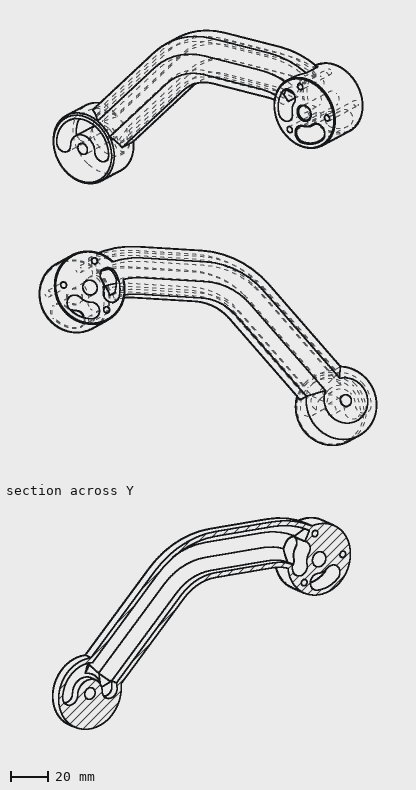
import cadquery as cq
import math

length = 185
height = 98.8
depth = 27.0
hub_diameter = 40.0
hub_radius = hub_diameter / 2
upper_hub_x = length - hub_diameter
upper_hub_z = 53.3

arm_setback = 1.0
arm_width = depth - arm_setback
arm_chamfer = 7.5
arm_wall = 3.0
arm_middle_y = arm_setback + arm_width / 2
arm_top_z = height - hub_radius
arm_axis_z = arm_top_z - arm_width / 2
rise_angle = 46.4
bend_radius = 40.0
straight_start_x = 79.4
straight_end_x = 115.8

lower_front_chamfer = arm_setback
lower_back_chamfer = arm_chamfer
upper_chamfer = 0.5
lower_bore_diameter = 6.3
upper_bore_diameter = 8.1
screw_hole_diameter = 3.3
screw_circle_radius = 15.0
screw_hole_angles = (2, 100, 231)

slot_inner_radius = 8.0
slot_outer_radius = 17.0
lower_slot_depth = 18.5
lower_slot_span = (0, 180)
open_slot_span = (146, 193)
chamfered_slot_span = (266, 313)

channel_width = arm_width - 2 * arm_wall
channel_chamfer = arm_chamfer - arm_wall * (1 - math.tan(math.radians(22.5)))
channel_flat = channel_width / 2 - channel_chamfer
channel_back_y = depth - arm_wall
channel_hub_distance = 13.3
mouth_radius = 10.0
mouth_half_width = 6.8


def polar(radius, angle):
    """X, Z offsets of a point at a radius and an angle in degrees from +X towards +Z."""
    return radius * math.cos(math.radians(angle)), radius * math.sin(math.radians(angle))


def cylinder(x, z, diameter):
    """Cylinder along Y through the whole depth."""
    return cq.Workplane("XZ").center(x, z).circle(diameter / 2).extrude(-depth)


def curved_slot(x, z, span, slot_depth):
    """Arc-shaped slot with round ends, cut in from the front; span gives the end-centre angles."""
    first, last = span
    middle = (first + last) / 2
    middle_radius = (slot_inner_radius + slot_outer_radius) / 2
    end_radius = (slot_outer_radius - slot_inner_radius) / 2

    def end_tip(angle, side):
        centre_x, centre_z = polar(middle_radius, angle)
        tip_x, tip_z = polar(end_radius, angle + side * 90)
        return centre_x + tip_x, centre_z + tip_z

    return (
        cq.Workplane("XZ")
        .center(x, z)
        .moveTo(*polar(slot_outer_radius, first))
        .threePointArc(polar(slot_outer_radius, middle), polar(slot_outer_radius, last))
        .threePointArc(end_tip(last, 1), polar(slot_inner_radius, last))
        .threePointArc(polar(slot_inner_radius, middle), polar(slot_inner_radius, first))
        .threePointArc(end_tip(first, -1), polar(slot_outer_radius, first))
        .close()
        .extrude(-slot_depth)
    )


def bend_point(tangent_x, radius_angle):
    """Point on the bend that touches the straight arm axis at tangent_x."""
    x, z = polar(bend_radius, radius_angle)
    return tangent_x + x, arm_axis_z - bend_radius + z


rise_start = bend_point(straight_start_x, 90 + rise_angle)
rise_x, rise_z = polar(1, rise_angle)
rise_length = rise_start[0] * rise_x + rise_start[1] * rise_z


def octagon_bar(width, chamfer, start_distance, end_angle):
    """Octagonal bar along the arm axis, from a distance past the lower hub to a bend angle."""
    run = rise_length - start_distance
    start = (rise_start[0] - run * rise_x, rise_start[1] - run * rise_z)
    path = (
        cq.Workplane("XZ", origin=(0, arm_middle_y, 0))
        .moveTo(*start)
        .lineTo(*rise_start)
        .threePointArc(
            bend_point(straight_start_x, 90 + rise_angle / 2),
            (straight_start_x, arm_axis_z),
        )
        .lineTo(straight_end_x, arm_axis_z)
        .threePointArc(
            bend_point(straight_end_x, 90 - end_angle / 2),
            bend_point(straight_end_x, 90 - end_angle),
        )
    )
    section = cq.Plane(
        origin=(start[0], arm_middle_y, start[1]), xDir=(0, 1, 0), normal=(rise_x, 0, rise_z)
    )
    half = width / 2
    flat = half - chamfer
    outline = [
        (half, flat), (flat, half), (-flat, half), (-half, flat),
        (-half, -flat), (-flat, -half), (flat, -half), (half, -flat),
    ]
    return cq.Workplane(section).polyline(outline).close().sweep(path)


def lower_hub():
    back_radius = hub_radius - lower_back_chamfer
    return (
        cq.Workplane("XY")
        .polyline([
            (0, 0),
            (hub_radius - lower_front_chamfer, 0),
            (hub_radius, lower_front_chamfer),
            (hub_radius, depth - lower_back_chamfer),
            (back_radius, depth),
            (0, depth),
        ])
        .close()
        .revolve(360, (0, 0, 0), (0, 1, 0))
    )


def upper_hub():
    return cylinder(upper_hub_x, upper_hub_z, hub_diameter).faces("<Y or >Y").chamfer(upper_chamfer)


def with_front_chamfer(cutter):
    """Widen the front end of a cutter so that it leaves a chamfered edge."""
    rim = cutter.faces("<Y").wires().toPending().offset2D(upper_chamfer)
    return cutter.union(rim.extrude(-upper_chamfer, taper=45))


def channel_mouth():
    """Recess below the lower slot floor, ramping from an arc down to the back of the channel."""
    def point(along, across, y):
        return cq.Vector(along * rise_x - across * rise_z, y, along * rise_z + across * rise_x)

    floor_half_width = channel_flat + channel_back_y - lower_slot_depth
    arc_along = math.sqrt(mouth_radius ** 2 - mouth_half_width ** 2)
    arc_left = point(arc_along, mouth_half_width, lower_slot_depth)
    arc_right = point(arc_along, -mouth_half_width, lower_slot_depth)
    arc_middle = point(mouth_radius, 0, lower_slot_depth)
    floor_left = point(channel_hub_distance, floor_half_width, lower_slot_depth)
    floor_right = point(channel_hub_distance, -floor_half_width, lower_slot_depth)
    back_left = point(channel_hub_distance, channel_flat, channel_back_y)
    back_right = point(channel_hub_distance, -channel_flat, channel_back_y)

    def flat_face(*corners):
        return cq.Face.makeFromWires(cq.Wire.makePolygon(corners, close=True))

    arc = cq.Edge.makeThreePointArc(arc_left, arc_middle, arc_right)
    floor_sides = cq.Wire.makePolygon([arc_right, floor_right, floor_left, arc_left])
    floor = cq.Face.makeFromWires(cq.Wire.assembleEdges([arc, *floor_sides.Edges()]))
    ramp = cq.Face.makeRuledSurface(arc, cq.Edge.makeLine(back_left, back_right))
    left_side = flat_face(arc_left, floor_left, back_left)
    right_side = flat_face(arc_right, floor_right, back_right)
    end = flat_face(floor_left, floor_right, back_right, back_left)
    shell = cq.Shell.makeShell([floor, ramp, left_side, right_side, end])
    return cq.Workplane(cq.Solid.makeSolid(shell))


result = lower_hub().union(upper_hub())
result = result.union(octagon_bar(arm_width, arm_chamfer, 0, rise_angle))

result = result.cut(curved_slot(0, 0, lower_slot_span, lower_slot_depth))
result = result.cut(cylinder(0, 0, lower_bore_diameter))
channel_end_angle = rise_angle - math.degrees(channel_hub_distance / bend_radius)
result = result.cut(
    octagon_bar(channel_width, channel_chamfer, channel_hub_distance, channel_end_angle)
)
result = result.cut(channel_mouth())

result = result.cut(curved_slot(upper_hub_x, upper_hub_z, open_slot_span, depth))
chamfered_slot = curved_slot(upper_hub_x, upper_hub_z, chamfered_slot_span, depth)
result = result.cut(with_front_chamfer(chamfered_slot))
upper_bore = cylinder(upper_hub_x, upper_hub_z, upper_bore_diameter)
result = result.cut(with_front_chamfer(upper_bore))
for angle in screw_hole_angles:
    offset_x, offset_z = polar(screw_circle_radius, angle)
    result = result.cut(cylinder(upper_hub_x + offset_x, upper_hub_z + offset_z, screw_hole_diameter))